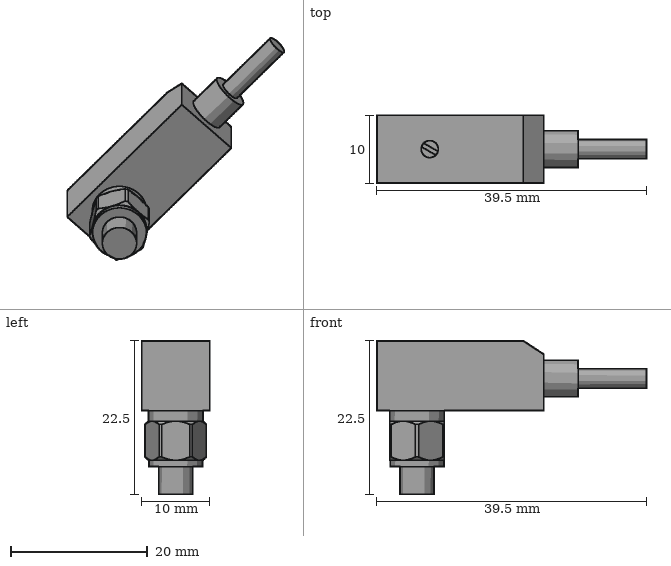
import cadquery as cq

body_length = 24.45
body_width = 10.0
body_height = 10.25
bevel_length = 3.0
bevel_drop = 1.98

overall_length = 39.5
cable_height = 4.7
sleeve_diameter = 5.4
sleeve_length = 5.0
cable_diameter = 2.9
cable_length = overall_length - body_length - sleeve_length

overall_height = 22.5
connector_x = 5.9
collar_diameter = 8.0
collar_length = 1.55
nut_across_flats = 8.0
nut_corner_diameter = 9.0
nut_length = 5.73
nut_chamfer = (nut_corner_diameter - nut_across_flats) / 2
flange_diameter = 7.9
flange_length = 0.95
pin_diameter = 5.0
pin_length = overall_height - body_height - collar_length - nut_length - flange_length

screw_x = 7.75
screw_diameter = 2.5
screw_recess = 0.08
slot_width = 0.65
slot_depth = 0.47
slot_angle = -30


def make_housing():
    return (
        cq.Workplane("XZ", origin=(0, body_width / 2, 0))
        .moveTo(0, 0)
        .lineTo(body_length, 0)
        .lineTo(body_length, body_height - bevel_drop)
        .lineTo(body_length - bevel_length, body_height)
        .lineTo(0, body_height)
        .close()
        .extrude(body_width)
    )


def cylinder_along_x(start_x, diameter, length):
    plane = cq.Workplane("YZ", origin=(start_x, 0, cable_height))
    return plane.circle(diameter / 2).extrude(length)


def cylinder_down(top_z, diameter, length):
    plane = cq.Workplane("XY", origin=(connector_x, 0, top_z))
    return plane.circle(diameter / 2).extrude(-length)


def make_nut(top_z):
    """Hex nut with flats facing X; a chamfered cylinder trims its corners."""
    hexagon = (
        cq.Workplane("XY", origin=(connector_x, 0, top_z))
        .polygon(6, nut_across_flats, circumscribed=True)
        .extrude(-nut_length)
    )
    envelope = cylinder_down(top_z, nut_corner_diameter, nut_length).edges("%CIRCLE").chamfer(nut_chamfer)
    return hexagon.intersect(envelope)


def make_screw_cut():
    """Shallow round recess with a deeper slot running across it."""
    screw_top = cq.Workplane("XY", origin=(screw_x, 0, body_height))
    slot_bar = (
        screw_top.transformed(rotate=(0, 0, slot_angle))
        .rect(screw_diameter, slot_width)
        .extrude(-slot_depth)
    )
    slot = screw_top.circle(screw_diameter / 2).extrude(-slot_depth).intersect(slot_bar)
    recess = screw_top.circle(screw_diameter / 2).extrude(-screw_recess)
    return recess.union(slot)


collar_bottom = -collar_length
nut_bottom = collar_bottom - nut_length
flange_bottom = nut_bottom - flange_length

result = (
    make_housing()
    .union(cylinder_along_x(body_length, sleeve_diameter, sleeve_length))
    .union(cylinder_along_x(body_length + sleeve_length, cable_diameter, cable_length))
    .union(cylinder_down(0, collar_diameter, collar_length))
    .union(make_nut(collar_bottom))
    .union(cylinder_down(nut_bottom, flange_diameter, flange_length))
    .union(cylinder_down(flange_bottom, pin_diameter, pin_length))
    .cut(make_screw_cut())
)